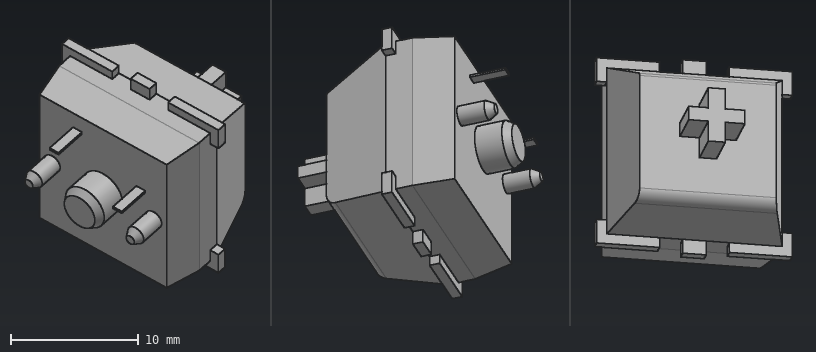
import cadquery as cq


BODY_HALF = 7.0
LOWER_STRAIGHT = 2.25
LOWER_DEPTH = 5.55
LOWER_END_HALF_X = 6.36
LOWER_END_HALF_Z = 6.75
UPPER_DEPTH = 5.53
UPPER_END_HALF_X = 5.46
UPPER_END_TOP = 4.53
UPPER_END_BOTTOM = -5.98
UPPER_TOP_RADIUS = 0.27
UPPER_BOTTOM_RADIUS = 1.0

TAB_THICKNESS = 0.85
CORNER_TAB_OUTER = 7.823
CORNER_TAB_INNER_X = 2.8
CORNER_TAB_INNER_Z = 5.82
MIDDLE_TAB_WIDTH = 1.87
MIDDLE_TAB_OUTER = 8.17

STEM_END = 9.15
STEM_SPAN = 4.49
STEM_UPRIGHT_WIDTH = 1.36
STEM_CROSSBAR_HEIGHT = 1.13

PIN_LENGTH = 17.68 - STEM_END - LOWER_DEPTH
PIN_TAPER_LENGTH = 0.69
POST_DIAMETER = 3.85
POST_TIP_DIAMETER = 3.05
PEG_DIAMETER = 1.6
PEG_TIP_DIAMETER = 0.81
PEG_OFFSET = 5.07
CONTACT_WIDTH = 0.88
CONTACT_THICKNESS = 0.2
CONTACT_CENTERS = [(-2.55, 5.11), (3.78, 2.51)]


def box_between(x_range, y_range, z_range):
    """Box spanning the given coordinate ranges."""
    (x0, x1), (y0, y1), (z0, z1) = x_range, y_range, z_range
    return cq.Workplane("XY").box(x1 - x0, y1 - y0, z1 - z0, centered=False).translate((x0, y0, z0))


def extrude_along_x(yz_points):
    """Side profile extruded across the full body width."""
    return cq.Workplane("YZ").polyline(yz_points).close().extrude(BODY_HALF, both=True)


def extrude_along_z(xy_points):
    """Plan profile extruded over the full body height."""
    return cq.Workplane("XY").polyline(xy_points).close().extrude(BODY_HALF, both=True)


def tapered_outline(end_half):
    """Symmetric outline of the lower housing as (across, y) points."""
    return [
        (-BODY_HALF, 0),
        (BODY_HALF, 0),
        (BODY_HALF, -LOWER_STRAIGHT),
        (end_half, -LOWER_DEPTH),
        (-end_half, -LOWER_DEPTH),
        (-BODY_HALF, -LOWER_STRAIGHT),
    ]


def make_lower_housing():
    plan = extrude_along_z(tapered_outline(LOWER_END_HALF_X))
    side = extrude_along_x([(y, z) for z, y in tapered_outline(LOWER_END_HALF_Z)])
    housing = plan.intersect(side)

    tab_y = (-TAB_THICKNESS, 0)
    corner_tab = box_between(
        (CORNER_TAB_INNER_X, CORNER_TAB_OUTER), tab_y, (CORNER_TAB_INNER_Z, CORNER_TAB_OUTER)
    )
    upper_tabs = corner_tab.union(corner_tab.mirror("YZ"))
    housing = housing.union(upper_tabs).union(upper_tabs.mirror("XY"))

    middle_bar = box_between(
        (-MIDDLE_TAB_WIDTH / 2, MIDDLE_TAB_WIDTH / 2), tab_y, (-MIDDLE_TAB_OUTER, MIDDLE_TAB_OUTER)
    )
    return housing.union(middle_bar)


def make_upper_housing():
    side = extrude_along_x([
        (0, -BODY_HALF),
        (0, BODY_HALF),
        (UPPER_DEPTH, UPPER_END_TOP),
        (UPPER_DEPTH, UPPER_END_BOTTOM),
    ])
    side = side.faces(">Y").edges(">Z").fillet(UPPER_TOP_RADIUS)
    side = side.faces(">Y").edges("<Z").fillet(UPPER_BOTTOM_RADIUS)
    plan = extrude_along_z([
        (-BODY_HALF, 0),
        (BODY_HALF, 0),
        (UPPER_END_HALF_X, UPPER_DEPTH),
        (-UPPER_END_HALF_X, UPPER_DEPTH),
    ])
    return side.intersect(plan)


def make_stem():
    half_span = STEM_SPAN / 2
    half_width = STEM_UPRIGHT_WIDTH / 2
    half_height = STEM_CROSSBAR_HEIGHT / 2
    stem_y = (UPPER_DEPTH, STEM_END)
    upright = box_between((-half_width, half_width), stem_y, (-half_span, half_span))
    crossbar = box_between((-half_span, half_span), stem_y, (-half_height, half_height))
    return upright.union(crossbar)


def make_round_pin(x, diameter, tip_diameter):
    """Round pin on the lower housing's end face with a conical tip."""
    shoulder_y = -LOWER_DEPTH - PIN_LENGTH + PIN_TAPER_LENGTH
    tip_y = -LOWER_DEPTH - PIN_LENGTH
    half_section = [
        (0, -LOWER_DEPTH),
        (diameter / 2, -LOWER_DEPTH),
        (diameter / 2, shoulder_y),
        (tip_diameter / 2, tip_y),
        (0, tip_y),
    ]
    pin = cq.Workplane("XY").polyline(half_section).close().revolve(360, (0, 0), (0, 1))
    return pin.translate((x, 0, 0))


def make_contact(x, z):
    """Flat contact blade centred at (x, z)."""
    blade = cq.Workplane("XY").box(CONTACT_WIDTH, PIN_LENGTH, CONTACT_THICKNESS)
    return blade.translate((x, -LOWER_DEPTH - PIN_LENGTH / 2, z))


lower_housing = make_lower_housing()
upper_housing = make_upper_housing()
stem = make_stem()
center_post = make_round_pin(0, POST_DIAMETER, POST_TIP_DIAMETER)
pegs = [make_round_pin(x, PEG_DIAMETER, PEG_TIP_DIAMETER) for x in (-PEG_OFFSET, PEG_OFFSET)]
contacts = [make_contact(x, z) for x, z in CONTACT_CENTERS]

result = cq.Compound.makeCompound([
    lower_housing.val(),
    upper_housing.val(),
    stem.val(),
    center_post.val(),
    *[peg.val() for peg in pegs],
    *[contact.val() for contact in contacts],
])